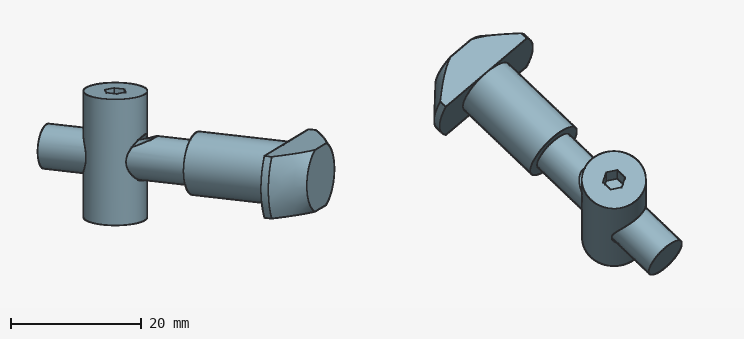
import cadquery as cq
import math


total_length = 45.7

shank_diameter = 7.0
collar_diameter = 9.83
collar_start = 24.95
head_start = 40.0
head_rim_thickness = 1.25
head_diameter = 19.65
head_end_diameter = 10.7
head_width = collar_diameter

seat_edge_x = 18.33
seat_diameter = 11.5
seat_angle = 109.0

barrel_x = 11.45
barrel_diameter = 9.83
barrel_length = 20.0
bore_diameter = 7.2
socket_sides = 6
socket_across_flats = 3.0
socket_depth = 3.0


def cylinder_along_x(diameter, start, end):
    return cq.Workplane("YZ", origin=(start, 0, 0)).circle(diameter / 2).extrude(end - start)


def make_head():
    """Round head with a tapered end, cut to two parallel flats."""
    rim_end = head_start + head_rim_thickness
    profile = [
        (head_start, 0),
        (head_start, head_diameter / 2),
        (rim_end, head_diameter / 2),
        (total_length, head_end_diameter / 2),
        (total_length, 0),
    ]
    round_head = cq.Workplane("XY").polyline(profile).close().revolve(360, (0, 0, 0), (1, 0, 0))
    flat_slab = cq.Workplane("XY").box(2 * total_length, head_diameter, head_width)
    return round_head.intersect(flat_slab)


def make_seat_cutter():
    """Cone pointing down, seat_diameter wide at the crest of the shank."""
    seat_radius = seat_diameter / 2
    seat_depth = seat_radius / math.tan(math.radians(seat_angle / 2))
    crest = cq.Vector(seat_edge_x - seat_radius, 0, shank_diameter / 2)
    cone = cq.Solid.makeCone(seat_radius, 0, seat_depth, pnt=crest, dir=cq.Vector(0, 0, -1))
    return cq.Workplane(cone)


def make_bolt():
    shank = cylinder_along_x(shank_diameter, 0, collar_start)
    collar = cylinder_along_x(collar_diameter, collar_start, head_start)
    return shank.union(collar).union(make_head()).cut(make_seat_cutter())


def make_barrel():
    """Upright cylinder, cross-bored for the shank, with a hex socket in its top."""
    barrel = (
        cq.Workplane("XY", origin=(barrel_x, 0, -barrel_length / 2))
        .circle(barrel_diameter / 2)
        .extrude(barrel_length)
    )
    bore = cylinder_along_x(bore_diameter, 0, collar_start)
    socket = (
        cq.Workplane("XY", origin=(barrel_x, 0, barrel_length / 2))
        .polygon(socket_sides, socket_across_flats, circumscribed=True)
        .extrude(-socket_depth)
    )
    socket = socket.rotate((barrel_x, 0, 0), (barrel_x, 0, 1), 180 / socket_sides)
    return barrel.cut(bore).cut(socket)


bolt = make_bolt()
barrel = make_barrel()
result = cq.Compound.makeCompound([bolt.val(), barrel.val()])